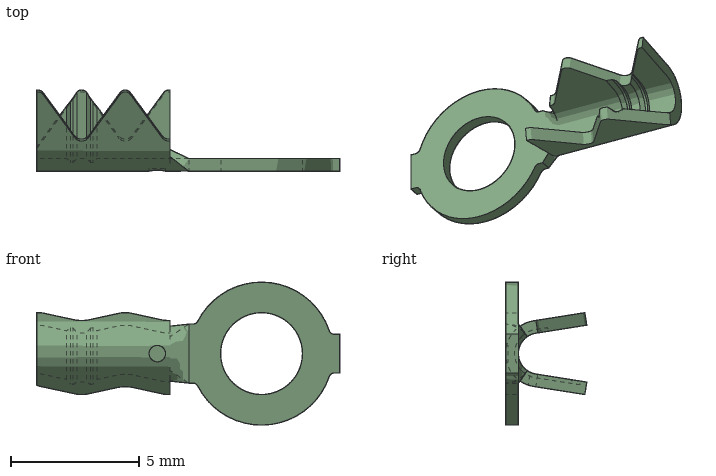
import cadquery as cq
import math

SHEET = 0.5

RING_RADIUS = 2.79
HOLE_DIAMETER = 3.18
TAB_END_X = 3.05
TAB_WIDTH = 1.52
TAB_FILLET = 0.2

BARREL_START_X = -8.76
BARREL_LENGTH = 5.2
BARREL_END_X = BARREL_START_X + BARREL_LENGTH
BARREL_RADIUS = 1.3
BARREL_INNER_RADIUS = BARREL_RADIUS - SHEET
ARM_FLARE = math.radians(9)
ARM_LENGTH = 2.02

TOOTH_CORNERS = 4
END_INSET = 0.05
HALF_PITCH = (BARREL_LENGTH - 2 * END_INSET) / (TOOTH_CORNERS - 1)
PEAK_RADIUS = 0.25
VALLEY_RADIUS = 0.33
VALLEY_CORNER_HEIGHT = -0.15

SERRATION_CENTRES = [1.37, 2.145]
SERRATION_WIDTH = 0.41
SERRATION_FLOOR_WIDTH = 0.1
SERRATION_DEPTH = 0.15

DIMPLE_X = -4.06
DIMPLE_DIAMETER = 0.64
DIMPLE_FLOOR_Y = 0.1

NECK_FLAT_X = -2.83
NECK_BARREL_WIDTH = 2.15
NECK_RING_WIDTH = 2.31
NECK_FILLET = 0.2

FLANK_ITERATIONS = 30
CLEARANCE = 1.0


def bend_point(radius, angle):
    """Point (Y, Z) on the bend; the angle runs from the -Y side towards +Z."""
    return BARREL_RADIUS - radius * math.cos(angle), radius * math.sin(angle)


def arm_point(radius, height):
    """Point (Y, Z) on the face of the +Z arm that continues the bend of this radius."""
    y, z = bend_point(radius, math.pi / 2 - ARM_FLARE)
    return y + height * math.cos(ARM_FLARE), z + height * math.sin(ARM_FLARE)


def channel_profile(workplane, radius):
    """Closed outline bounded by the bend of this radius and its two over-long arms."""
    bend_y, bend_z = arm_point(radius, 0)
    tip_y, tip_z = arm_point(radius, ARM_LENGTH + CLEARANCE)
    return (
        workplane.moveTo(tip_y, tip_z)
        .lineTo(bend_y, bend_z)
        .threePointArc(bend_point(radius, 0), (bend_y, -bend_z))
        .lineTo(tip_y, -tip_z)
        .close()
    )


def barrel_plane(distance):
    """YZ plane at a distance from the barrel start."""
    return cq.Workplane("YZ", origin=(BARREL_START_X + distance, 0, 0))


def channel_solid(radius):
    """Solid over the whole barrel length inside one channel outline."""
    return channel_profile(barrel_plane(0), radius).extrude(BARREL_LENGTH)


def corner_trim(radius, slope):
    """Height that rounding takes off a sharp corner between two flanks of this slope."""
    return radius * (1 / math.cos(slope) - 1)


def tooth_flank():
    """Height of the sharp peak corners and slope angle of the flanks.

    The rounded peaks just reach the arm tips, so the two depend on each other and are
    found by repeated substitution.
    """
    peak_corner_height = ARM_LENGTH
    for _ in range(FLANK_ITERATIONS):
        slope = math.atan((peak_corner_height - VALLEY_CORNER_HEIGHT) / HALF_PITCH)
        peak_corner_height = ARM_LENGTH + corner_trim(PEAK_RADIUS, slope)
    return peak_corner_height, slope


def arm_gap(side, starts_with_peak):
    """Body above the saw-tooth edge of one arm; side is +1 for the +Z arm and -1 for the -Z arm."""
    peak_corner_height, slope = tooth_flank()
    bend_y, bend_z = arm_point(BARREL_INNER_RADIUS, 0)
    plane = cq.Plane(
        origin=(BARREL_START_X, bend_y, side * bend_z),
        xDir=(1, 0, 0),
        normal=(0, -math.sin(ARM_FLARE), side * math.cos(ARM_FLARE)),
    )
    up = side

    def is_peak(index):
        return (index % 2 == 0) == starts_with_peak

    def corner(index):
        height = peak_corner_height if is_peak(index) else VALLEY_CORNER_HEIGHT
        return END_INSET + index * HALF_PITCH, height

    start_x, start_height = corner(-1)
    if not starts_with_peak:
        start_height = 2 * VALLEY_CORNER_HEIGHT - peak_corner_height
    outline = cq.Workplane(plane).moveTo(start_x, up * start_height)
    for index in range(0 if starts_with_peak else 1, TOOTH_CORNERS):
        x, height = corner(index)
        radius = PEAK_RADIUS if is_peak(index) else VALLEY_RADIUS
        inward = -1 if is_peak(index) else 1
        half_chord = radius * math.sin(slope)
        tangent_height = height + inward * half_chord * math.tan(slope)
        middle_height = height + inward * corner_trim(radius, slope)
        outline = outline.lineTo(x - half_chord, up * tangent_height)
        outline = outline.threePointArc((x, up * middle_height), (x + half_chord, up * tangent_height))
    end_x, end_height = corner(TOOTH_CORNERS)
    top = up * (ARM_LENGTH + 2 * CLEARANCE)
    outline = outline.lineTo(end_x, up * end_height).lineTo(end_x, top).lineTo(start_x, top).close()
    return outline.extrude(2 * SHEET, both=True)


def serration(centre):
    """Groove of trapezoidal section that runs all along the inner wall of the channel."""
    ramp_length = (SERRATION_WIDTH - SERRATION_FLOOR_WIDTH) / 2
    floor_radius = BARREL_INNER_RADIUS + SERRATION_DEPTH
    start = centre - SERRATION_WIDTH / 2
    mouth = channel_profile(barrel_plane(start), BARREL_INNER_RADIUS)
    floor_plane = mouth.workplane(offset=ramp_length, origin=(0, 0, 0))
    ramp_in = channel_profile(floor_plane, floor_radius).loft(ruled=True)
    floor = channel_profile(barrel_plane(start + ramp_length), floor_radius)
    floor = floor.extrude(SERRATION_FLOOR_WIDTH)
    ramp_out = ramp_in.mirror("YZ", (BARREL_START_X + centre, 0, 0))
    return ramp_in.union(floor).union(ramp_out)


def make_barrel():
    """U-shaped crimp barrel with serrations, saw-tooth arms and dimple."""
    barrel = channel_solid(BARREL_RADIUS).cut(channel_solid(BARREL_INNER_RADIUS))
    for centre in SERRATION_CENTRES:
        barrel = barrel.cut(serration(centre))
    barrel = barrel.cut(arm_gap(side=1, starts_with_peak=True))
    barrel = barrel.cut(arm_gap(side=-1, starts_with_peak=False))
    dimple = (
        cq.Workplane("XZ", origin=(DIMPLE_X, DIMPLE_FLOOR_Y, 0))
        .circle(DIMPLE_DIAMETER / 2)
        .extrude(DIMPLE_FLOOR_Y + CLEARANCE)
    )
    return barrel.cut(dimple)


def make_neck():
    """Transition from a stretch of the barrel bend to the flat sheet."""
    bend_angle = math.asin(NECK_BARREL_WIDTH / 2 / BARREL_RADIUS)
    outer_y, outer_z = bend_point(BARREL_RADIUS, bend_angle)
    inner_y, inner_z = bend_point(BARREL_INNER_RADIUS, bend_angle)
    half_width = NECK_RING_WIDTH / 2
    return (
        barrel_plane(BARREL_LENGTH)
        .moveTo(outer_y, outer_z)
        .threePointArc(bend_point(BARREL_RADIUS, 0), (outer_y, -outer_z))
        .lineTo(inner_y, -inner_z)
        .threePointArc(bend_point(BARREL_INNER_RADIUS, 0), (inner_y, inner_z))
        .close()
        .workplane(offset=NECK_FLAT_X - BARREL_END_X, origin=(0, 0, 0))
        .moveTo(0, half_width)
        .lineTo(0, -half_width)
        .lineTo(SHEET, -half_width)
        .lineTo(SHEET, half_width)
        .close()
        .loft(ruled=True)
    )


def strip(start_x, end_x, width):
    """Flat strip of sheet along X."""
    return (
        cq.Workplane("XZ", origin=((start_x + end_x) / 2, 0, 0))
        .rect(end_x - start_x, width)
        .extrude(-SHEET)
    )


def round_roots(body, side, width, radius):
    """Round the two concave corners where a strip leaves the ring towards +X or -X."""
    root_x = side * math.sqrt(RING_RADIUS**2 - (width / 2) ** 2)
    for root_z in (-width / 2, width / 2):
        root = cq.selectors.NearestToPointSelector((root_x, SHEET / 2, root_z))
        body = body.edges("|Y").edges(root).fillet(radius)
    return body


def make_ring():
    """Ring with its end tab and the flat stretch of neck, concave corners rounded."""
    ring = cq.Workplane("XZ").circle(RING_RADIUS).extrude(-SHEET)
    ring = ring.union(strip(0, TAB_END_X, TAB_WIDTH))
    ring = ring.union(strip(NECK_FLAT_X, 0, NECK_RING_WIDTH))
    ring = round_roots(ring, 1, TAB_WIDTH, TAB_FILLET)
    ring = round_roots(ring, -1, NECK_RING_WIDTH, NECK_FILLET)
    hole = cq.Workplane("XZ").circle(HOLE_DIAMETER / 2).extrude(-SHEET)
    return ring.cut(hole)


result = make_barrel().union(make_neck()).union(make_ring())